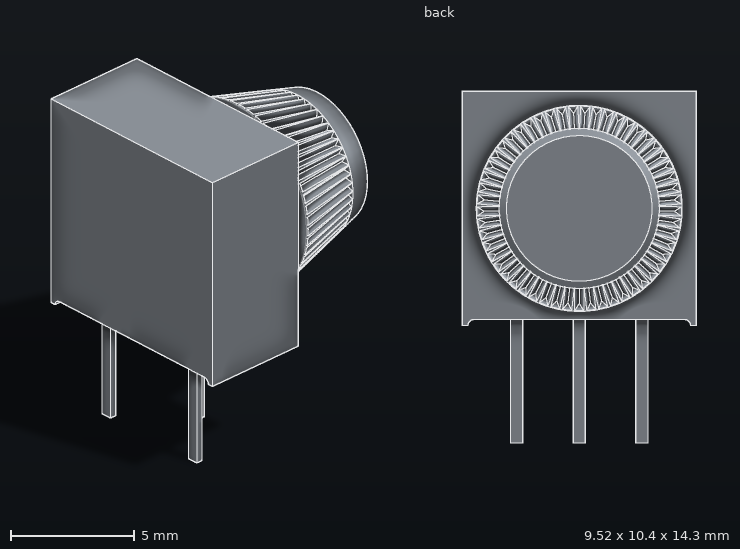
import cadquery as cq
import math

HOUSING_WIDTH = 9.52
HOUSING_DEPTH = 4.82
HOUSING_HEIGHT = 9.52

RAIL_WIDTH = 0.25
RAIL_HEIGHT = 0.25
RAIL_FILLET = RAIL_HEIGHT
CHANNEL_OVERSHOOT = 0.15

OVERALL_DEPTH = 10.41
KNOB_DIAMETER = 8.38
COLLAR_LENGTH = 1.0
CONE_ANGLE = 15.0

GROOVE_COUNT = 53
GROOVE_DEPTH = 0.3
GROOVE_ANGLE = 64.0
GROOVE_START = 0.13
PLAIN_TIP_LENGTH = 1.1
GROOVE_OVERSHOOT = 0.07

PIN_WIDTH = 0.5
PIN_THICKNESS = 0.3
PIN_PITCH = 2.55
FRONT_PIN_Y = 1.15
OVERALL_HEIGHT = 14.3
PIN_BOTTOM = HOUSING_HEIGHT - OVERALL_HEIGHT

cone_slope = math.tan(math.radians(CONE_ANGLE))
knob_center_z = HOUSING_HEIGHT / 2
knob_radius = KNOB_DIAMETER / 2
cone_base_y = HOUSING_DEPTH + COLLAR_LENGTH
cone_length = OVERALL_DEPTH - cone_base_y
tip_radius = knob_radius - cone_length * cone_slope


def make_housing():
    """Block with a shallow channel along its underside, leaving a rail on each side."""
    block = cq.Workplane("XY").box(
        HOUSING_WIDTH, HOUSING_DEPTH, HOUSING_HEIGHT, centered=(True, False, False)
    )
    channel = (
        cq.Workplane("XY", origin=(0, 0, -CHANNEL_OVERSHOOT))
        .box(
            HOUSING_WIDTH - 2 * RAIL_WIDTH, HOUSING_DEPTH, RAIL_HEIGHT + CHANNEL_OVERSHOOT,
            centered=(True, False, False),
        )
        .edges("|Y and >Z")
        .fillet(RAIL_FILLET)
    )
    return block.cut(channel)


def make_knob_blank():
    """Cylindrical collar followed by a cone, turned about the Y axis."""
    return (
        cq.Workplane("XY")
        .moveTo(0, HOUSING_DEPTH)
        .lineTo(knob_radius, HOUSING_DEPTH)
        .lineTo(knob_radius, cone_base_y)
        .lineTo(tip_radius, OVERALL_DEPTH)
        .lineTo(0, OVERALL_DEPTH)
        .close()
        .revolve(360, (0, 0, 0), (0, 1, 0))
    )


def make_groove():
    """V-shaped prism lying along the lowest line of the cone, ends square to the slope."""
    height = GROOVE_DEPTH + GROOVE_OVERSHOOT
    half_width = height * math.tan(math.radians(GROOVE_ANGLE / 2))
    axial_length = cone_length - GROOVE_START - PLAIN_TIP_LENGTH
    length = axial_length / math.cos(math.radians(CONE_ANGLE))
    start_y = cone_base_y + GROOVE_START
    start_z = GROOVE_START * cone_slope - knob_radius
    cross_section = cq.Plane(
        origin=(0, start_y, start_z),
        xDir=(1, 0, 0),
        normal=(0, 1, cone_slope),
    )
    return (
        cq.Workplane(cross_section)
        .polyline([
            (0, -GROOVE_DEPTH),
            (half_width, GROOVE_OVERSHOOT),
            (-half_width, GROOVE_OVERSHOOT),
        ])
        .close()
        .extrude(length)
        .val()
    )


def make_knob():
    """Knob blank with the ring of grip grooves, moved to the middle of the rear face."""
    groove = make_groove()
    step = 360 / GROOVE_COUNT
    grooves = [groove.rotate((0, 0, 0), (0, 1, 0), i * step) for i in range(GROOVE_COUNT)]
    knob = make_knob_blank().val().cut(*grooves)
    return cq.Workplane(knob).translate((0, 0, knob_center_z))


def make_pins():
    """Two pins near the front and one on the centre line, one pitch further back."""
    return (
        cq.Workplane("XY", origin=(0, FRONT_PIN_Y, PIN_BOTTOM))
        .pushPoints([(-PIN_PITCH, 0), (PIN_PITCH, 0), (0, PIN_PITCH)])
        .rect(PIN_WIDTH, PIN_THICKNESS)
        .extrude(RAIL_HEIGHT - PIN_BOTTOM)
    )


result = make_housing().union(make_knob()).union(make_pins())